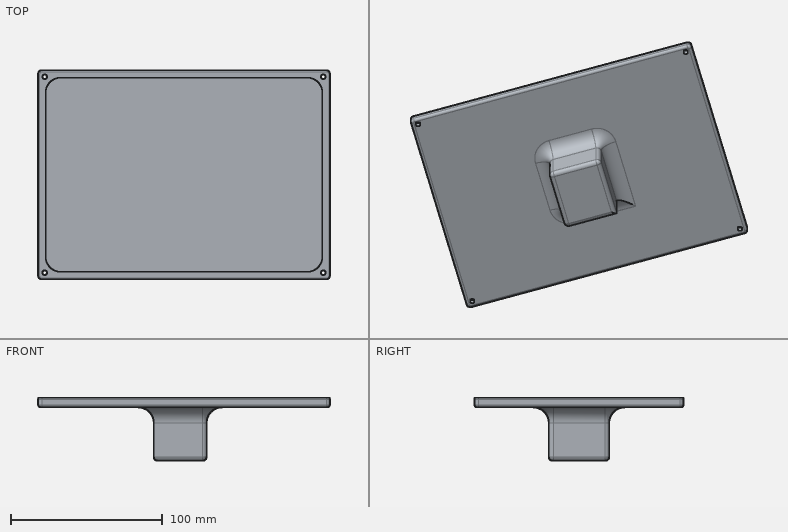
import cadquery as cq

plate_length = 192.5
plate_width = 138.0
plate_thickness = 6.5
plate_corner_radius = 2.5
top_edge_radius = 1.0
bottom_edge_radius = 2.0

recess_margin = 5.0
recess_corner_radius = 10.0
recess_depth = 1.2

hole_diameter = 2.9
hole_inset = 4.5

total_height = 41.8
stem_length = 35.0
stem_width = 40.0
stem_center_x = -2.5
stem_edge_radius = 2.9
root_fillet_radius = 10.0
joint_margin = 0.2


def make_plate():
    plate = cq.Workplane("XY").box(
        plate_length, plate_width, plate_thickness, centered=(True, True, False)
    )
    plate = plate.translate((0, 0, -plate_thickness))
    plate = plate.edges("|Z").fillet(plate_corner_radius)
    plate = plate.faces(">Z").edges().fillet(top_edge_radius)
    return plate.faces("<Z").edges().fillet(bottom_edge_radius)


def make_stem():
    """Rectangular stem; the vertical edge at -X, -Y stays sharp."""
    stem = cq.Workplane("XY").box(
        stem_length, stem_width, total_height - recess_depth, centered=(True, True, False)
    )
    stem = stem.translate((stem_center_x, 0, -total_height))
    stem = stem.edges("|Z and (>X or >Y)").fillet(stem_edge_radius)
    return stem.faces("<Z").edges().fillet(stem_edge_radius)


def add_root_fillet(body):
    """Round the concave corner where the stem meets the plate underside."""
    reach_x = stem_length / 2 + joint_margin
    reach_y = stem_width / 2 + joint_margin
    joint = cq.selectors.BoxSelector(
        (stem_center_x - reach_x, -reach_y, -plate_thickness - joint_margin),
        (stem_center_x + reach_x, reach_y, -plate_thickness + joint_margin),
    )
    return body.edges(joint).fillet(root_fillet_radius)


def make_recess():
    recess = cq.Workplane("XY").rect(plate_length - 2 * recess_margin, plate_width - 2 * recess_margin)
    return recess.extrude(-recess_depth).edges("|Z").fillet(recess_corner_radius)


def make_corner_holes():
    holes = cq.Workplane("XY").rect(
        plate_length - 2 * hole_inset, plate_width - 2 * hole_inset, forConstruction=True
    )
    return holes.vertices().circle(hole_diameter / 2).extrude(-plate_thickness)


body = add_root_fillet(make_plate().union(make_stem()))
result = body.cut(make_recess()).cut(make_corner_holes())